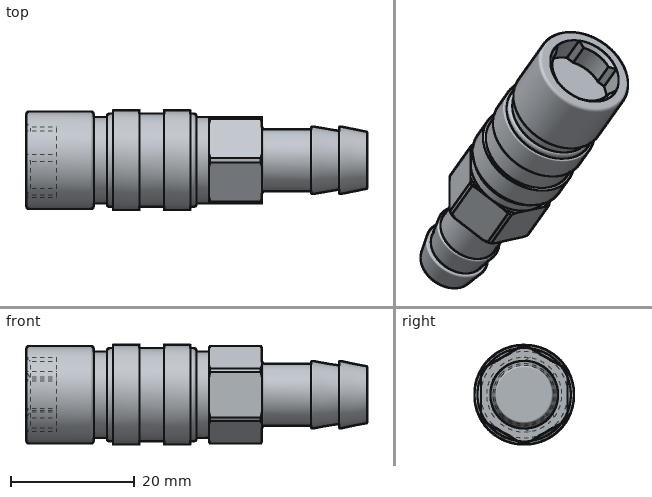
import cadquery as cq
import math

AXIS_START = (0, 0, 0)
AXIS_END = (1, 0, 0)

sleeve_end = 10.9
coupling_start = 13.0
front_ring_start = 14.0
ring_width = 4.25
rear_ring_end = 26.5
coupling_end = front_ring_start + rear_ring_end - coupling_start
hex_start = 29.5
hex_end = 38.05
front_barb_start = 46.0
rear_barb_start = 50.5
total_length = 55.05

sleeve_diameter = 15.8
body_diameter = 14.0
collar_diameter = 15.1
ring_diameter = 16.15
tube_diameter = 10.05
barb_diameter = 11.05
front_barb_end_diameter = 9.5
tip_diameter = 9.2

sleeve_fillet = 0.5
collar_fillet = 0.5
ring_fillet = 0.15
tube_root_fillet = 0.45
barb_fillet = 0.25

hex_sides = 6
hex_across_flats = 14.0
hex_corner_diameter = 15.8
hex_chamfer_length = 0.2
hex_face_diameter = 15.1

socket_diameter = 12.1
socket_depth = 4.9
lug_inner_diameter = 10.7
lug_shelf_distance = 4.72
lug_count = 3


def cylinder(start, end, diameter):
    """Solid cylinder on the X axis between two stations."""
    return cq.Workplane("YZ", origin=(start, 0, 0)).circle(diameter / 2).extrude(end - start)


def cone(start, end, start_diameter, end_diameter):
    """Solid cone frustum on the X axis between two stations."""
    outline = [
        (start, 0),
        (start, start_diameter / 2),
        (end, end_diameter / 2),
        (end, 0),
    ]
    return cq.Workplane("XY").polyline(outline).close().revolve(360, AXIS_START, AXIS_END)


def coupling_body():
    """Sleeve, grooved body and collar with two raised rings."""
    body = cylinder(0, hex_start, body_diameter)
    sleeve = cylinder(0, sleeve_end, sleeve_diameter).edges().fillet(sleeve_fillet)
    collar = cylinder(coupling_start, coupling_end, collar_diameter).edges().fillet(collar_fillet)
    front_ring = cylinder(front_ring_start, front_ring_start + ring_width, ring_diameter)
    front_ring = front_ring.edges("<X").fillet(ring_fillet)
    rear_ring = cylinder(rear_ring_end - ring_width, rear_ring_end, ring_diameter)
    rear_ring = rear_ring.edges(">X").fillet(ring_fillet)
    return body.union(sleeve).union(collar).union(front_ring).union(rear_ring)


def hexagon():
    """Hexagon with flats facing +Y and -Y, its corners turned down and chamfered at both ends."""
    point_diameter = hex_across_flats / math.cos(math.pi / hex_sides)
    prism = (
        cq.Workplane("YZ", origin=(hex_start, 0, 0))
        .transformed(rotate=(0, 0, 90))
        .polygon(hex_sides, point_diameter)
        .extrude(hex_end - hex_start)
    )

    corner_radius = hex_corner_diameter / 2
    face_radius = hex_face_diameter / 2
    outline = [
        (hex_start, 0),
        (hex_start, face_radius),
        (hex_start + hex_chamfer_length, corner_radius),
        (hex_end - hex_chamfer_length, corner_radius),
        (hex_end, face_radius),
        (hex_end, 0),
    ]
    envelope = cq.Workplane("XY").polyline(outline).close().revolve(360, AXIS_START, AXIS_END)
    return prism.intersect(envelope)


def tube_root():
    """Concave fillet where the hose tube leaves the hexagon."""
    tube_radius = tube_diameter / 2
    bulge = tube_root_fillet * (1 - math.sqrt(0.5))
    return (
        cq.Workplane("XY")
        .moveTo(hex_end, 0)
        .lineTo(hex_end, tube_radius + tube_root_fillet)
        .threePointArc(
            (hex_end + bulge, tube_radius + bulge),
            (hex_end + tube_root_fillet, tube_radius),
        )
        .lineTo(hex_end + tube_root_fillet, 0)
        .close()
        .revolve(360, AXIS_START, AXIS_END)
    )


def hose_nozzle():
    """Hose tube ending in two tapered barbs."""
    tube = cylinder(hex_end, front_barb_start, tube_diameter)
    front_barb = cone(front_barb_start, rear_barb_start, barb_diameter, front_barb_end_diameter)
    front_barb = front_barb.edges("<X").fillet(barb_fillet)
    rear_barb = cone(rear_barb_start, total_length, barb_diameter, tip_diameter)
    rear_barb = rear_barb.edges().fillet(barb_fillet)
    return tube.union(tube_root()).union(front_barb).union(rear_barb)


def lug(angle):
    """Lug rooted in the socket wall: flat shelf, cylindrical inner face and 45 degree lead-in."""
    embedded_diameter = (socket_diameter + sleeve_diameter) / 2
    lead_in_depth = (socket_diameter - lug_inner_diameter) / 2
    block = (
        cq.Workplane("XY", origin=(0, lug_shelf_distance, 0))
        .box(socket_depth, embedded_diameter, embedded_diameter, centered=(False, False, True))
        .intersect(cylinder(0, socket_depth, embedded_diameter))
    )
    block = block.cut(cylinder(0, socket_depth, lug_inner_diameter))
    block = block.cut(cone(0, lead_in_depth, socket_diameter, lug_inner_diameter))
    return block.rotate(AXIS_START, AXIS_END, angle)


def build_part():
    """Join the turned sections and cut the socket around its lugs."""
    part = coupling_body().union(hexagon()).union(hose_nozzle())
    part = part.cut(cylinder(0, socket_depth, socket_diameter))
    for index in range(lug_count):
        part = part.union(lug(index * 360 / lug_count))
    return part


result = build_part()